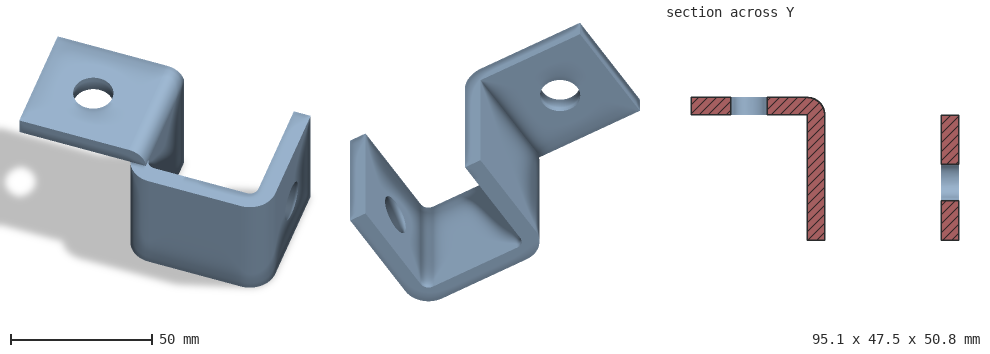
import cadquery as cq

thickness = 6.35
clear_width = 41.185
channel_height = 44.45
inner_bend_radius = 3.175
hole_diameter = 14.3

outer_bend_radius = inner_bend_radius + thickness
channel_width = clear_width + 2 * thickness
channel_depth = clear_width + thickness
hole_inset = clear_width / 2


def make_channel():
    """U-shaped channel, open toward +Y, with outer faces on X = 0 and Y = 0, standing on Z = 0."""
    outside = (
        cq.Workplane("XY")
        .rect(channel_width, channel_depth, centered=False)
        .extrude(channel_height)
        .edges("|Z and <Y")
        .fillet(outer_bend_radius)
    )
    inside = (
        cq.Workplane("XY")
        .center(thickness, thickness)
        .rect(clear_width, clear_width, centered=False)
        .extrude(channel_height)
        .edges("|Z and <Y")
        .fillet(inner_bend_radius)
    )
    return outside.cut(inside)


def make_tab():
    """Flat tab resting on the -X leg, reaching outward, with its inner top edge rounded."""
    profile = (
        cq.Workplane("XZ", origin=(0, channel_depth, 0))
        .moveTo(-clear_width, channel_height)
        .lineTo(thickness, channel_height)
        .radiusArc((0, channel_height + thickness), -thickness)
        .lineTo(-clear_width, channel_height + thickness)
        .close()
    )
    return profile.extrude(clear_width)


def make_tab_hole():
    """Vertical drill through the middle of the tab's free area."""
    return (
        cq.Workplane("XY", origin=(-hole_inset, channel_depth - hole_inset, channel_height))
        .circle(hole_diameter / 2)
        .extrude(thickness)
    )


def make_leg_hole():
    """Horizontal drill through the +X leg."""
    return (
        cq.Workplane("YZ", origin=(channel_width - thickness, channel_depth - hole_inset, hole_inset))
        .circle(hole_diameter / 2)
        .extrude(thickness)
    )


result = make_channel().union(make_tab()).cut(make_tab_hole()).cut(make_leg_hole())